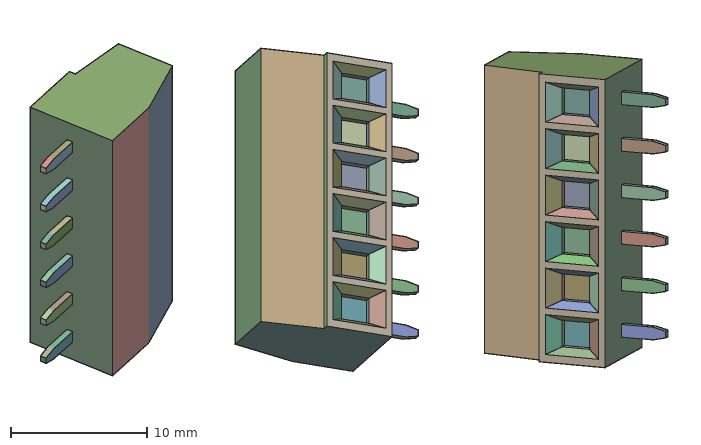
import cadquery as cq

HEIGHT = 21.7
WIDTH = 7.3
OVERALL_DEPTH = 13.5
PIN_LENGTH = 3.5
BODY_DEPTH = OVERALL_DEPTH - PIN_LENGTH
ENTRY_BLOCK_DEPTH = 5.2
LEDGE = 0.52
CROWN_LEFT_INSET = 1.1
CROWN_RIGHT_INSET = 1.4
RIGHT_TAPER_START = 4.77

POLE_COUNT = 6
END_WALL = 0.35
PITCH = (HEIGHT - 2 * END_WALL) / POLE_COUNT

ENTRY_MARGIN = 0.5
MOUTH_LENGTH = ENTRY_BLOCK_DEPTH - 2 * ENTRY_MARGIN
MOUTH_HEIGHT = PITCH - ENTRY_MARGIN
THROAT_LENGTH = 2.2
THROAT_HEIGHT = 2.0
FUNNEL_DEPTH = 0.75
THROAT_DEPTH = 0.5
ENTRY_CENTER_Y = ENTRY_BLOCK_DEPTH / 2

PIN_X = 3.52
PIN_THICKNESS = 0.5
PIN_HEIGHT = 0.95
PIN_TIP_HEIGHT = 0.5
PIN_TIP_LENGTH = 1.0


def make_housing():
    """Housing profile in XY, extruded along the terminal row."""
    profile = [
        (0, 0),
        (WIDTH, 0),
        (WIDTH, RIGHT_TAPER_START),
        (WIDTH - CROWN_RIGHT_INSET, BODY_DEPTH),
        (CROWN_LEFT_INSET, BODY_DEPTH),
        (LEDGE, ENTRY_BLOCK_DEPTH),
        (0, ENTRY_BLOCK_DEPTH),
    ]
    return cq.Workplane("XY").polyline(profile).close().extrude(HEIGHT)


def make_wire_entry(z):
    """Cutter for one wire entry, centred at height z."""
    entry_plane = cq.Workplane("YZ").center(ENTRY_CENTER_Y, z)
    funnel = (
        entry_plane.rect(MOUTH_LENGTH, MOUTH_HEIGHT)
        .workplane(offset=FUNNEL_DEPTH)
        .rect(THROAT_LENGTH, THROAT_HEIGHT)
        .loft(ruled=True)
    )
    throat = (
        entry_plane.workplane(offset=FUNNEL_DEPTH)
        .rect(THROAT_LENGTH, THROAT_HEIGHT)
        .extrude(THROAT_DEPTH)
    )
    return funnel.union(throat)


def make_pin(z):
    """One flat pin with a tip tapered in Z, centred at height z."""
    half_height = PIN_HEIGHT / 2
    half_tip = PIN_TIP_HEIGHT / 2
    taper_y = PIN_TIP_LENGTH - PIN_LENGTH
    outline = [
        (0, z - half_height),
        (taper_y, z - half_height),
        (-PIN_LENGTH, z - half_tip),
        (-PIN_LENGTH, z + half_tip),
        (taper_y, z + half_height),
        (0, z + half_height),
    ]
    return (
        cq.Workplane("YZ", origin=(PIN_X, 0, 0))
        .polyline(outline)
        .close()
        .extrude(PIN_THICKNESS / 2, both=True)
    )


result = make_housing()
for pole in range(POLE_COUNT):
    pole_z = END_WALL + (pole + 0.5) * PITCH
    result = result.cut(make_wire_entry(pole_z)).union(make_pin(pole_z))